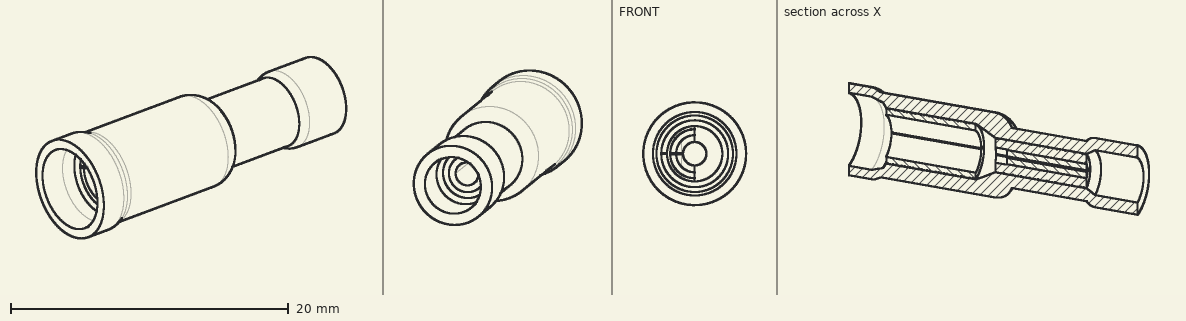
import cadquery as cq
import math

length = 23.9
mouth_radius = 3.716
barrel_radius = 3.47
neck_radius = 2.6
tail_radius = 2.92
mouth_end = 1.91
flare_end = 2.82
barrel_end = 12.12
dome_end = 13.5
tail_blend_start = 19.67
tail_blend_end = 20.39
mouth_bore_radius = 3.0
throat_radius = mouth_bore_radius - (mouth_radius - barrel_radius)

contact_front = 3.08
contact_radius = 2.41
contact_bore_radius = 1.995
cone_start = 10.52
cone_end = barrel_end
rear_tube_radius = 1.35
rear_bore_radius = 0.84
opening_corner_radius = 0.95
slit_width = 0.07
ferrule_radius = 1.77
ferrule_start = cone_end
ferrule_end = tail_blend_start
tail_bore_radius = ferrule_radius + tail_radius - neck_radius


def revolve_about_y(profile):
    return profile.close().revolve(360, (0, 0), (0, 1))


def tangent_arc_middle(tangent_point, end_point):
    """Midpoint of an arc that leaves tangent_point parallel to Y and stops at end_point."""
    radial = end_point[0] - tangent_point[0]
    axial = end_point[1] - tangent_point[1]
    radius = (radial**2 + axial**2) / (2 * abs(radial))
    half_angle = math.asin(abs(axial) / radius) / 2
    return (
        tangent_point[0] + math.copysign(radius * (1 - math.cos(half_angle)), radial),
        tangent_point[1] + math.copysign(radius * math.sin(half_angle), axial),
    )


def add_flare(profile, start, end):
    """Add an S-shaped step of two equal arcs, each parallel to Y at its outer end."""
    middle = ((start[0] + end[0]) / 2, (start[1] + end[1]) / 2)
    profile = profile.threePointArc(tangent_arc_middle(start, middle), middle)
    return profile.threePointArc(tangent_arc_middle(end, middle), end)


def make_housing():
    barrel_edge = (barrel_radius, barrel_end)
    dome_edge = (neck_radius, dome_end)
    neck_edge = (neck_radius, tail_blend_start)
    tail_edge = (tail_radius, tail_blend_end)

    profile = cq.Workplane("XY").moveTo(mouth_bore_radius, 0).lineTo(mouth_radius, 0)
    profile = profile.lineTo(mouth_radius, mouth_end)
    profile = add_flare(profile, (mouth_radius, mouth_end), (barrel_radius, flare_end))
    profile = profile.lineTo(*barrel_edge)
    profile = profile.threePointArc(tangent_arc_middle(barrel_edge, dome_edge), dome_edge)
    profile = profile.lineTo(*neck_edge)
    profile = profile.threePointArc(tangent_arc_middle(tail_edge, neck_edge), tail_edge)
    profile = profile.lineTo(tail_radius, length).lineTo(tail_bore_radius, length)

    profile = profile.lineTo(tail_bore_radius, tail_blend_end).lineTo(ferrule_radius, tail_blend_start)
    profile = profile.lineTo(ferrule_radius, cone_end).lineTo(contact_radius, cone_start)
    profile = profile.lineTo(contact_radius, contact_front).lineTo(throat_radius, flare_end)
    profile = profile.lineTo(mouth_bore_radius, mouth_end)
    return revolve_about_y(profile)


def seam_slit():
    """Thin slab on the -X side that splits a rolled tube along its length."""
    slab = cq.Workplane("XY").box(mouth_radius, length, slit_width, centered=(True, False, True))
    return slab.translate((-mouth_radius / 2, 0, 0))


def cone_opening():
    """Cut that leaves only the +X half of the cone, rounded where it meets the rear tube."""
    rear_wall = cone_end + opening_corner_radius
    return (
        cq.Workplane("XY")
        .moveTo(0, cone_start)
        .lineTo(0, cone_end)
        .radiusArc((-opening_corner_radius, rear_wall), -opening_corner_radius)
        .lineTo(-mouth_radius, rear_wall)
        .lineTo(-mouth_radius, cone_start)
        .close()
        .extrude(mouth_radius, both=True)
    )


def make_contact():
    outline = [
        (contact_bore_radius, contact_front),
        (contact_radius, contact_front),
        (contact_radius, cone_start),
        (rear_tube_radius, cone_end),
        (rear_tube_radius, ferrule_end),
        (rear_bore_radius, ferrule_end),
        (rear_bore_radius, cone_end),
        (contact_bore_radius, cone_start),
    ]
    tube = revolve_about_y(cq.Workplane("XY").polyline(outline))
    return tube.cut(cone_opening()).cut(seam_slit())


def make_ferrule():
    outline = [
        (rear_tube_radius, ferrule_start),
        (ferrule_radius, ferrule_start),
        (ferrule_radius, ferrule_end),
        (rear_tube_radius, ferrule_end),
    ]
    return revolve_about_y(cq.Workplane("XY").polyline(outline)).cut(seam_slit())


housing = make_housing()
contact = make_contact()
ferrule = make_ferrule()
result = cq.Compound.makeCompound([housing.val(), contact.val(), ferrule.val()])